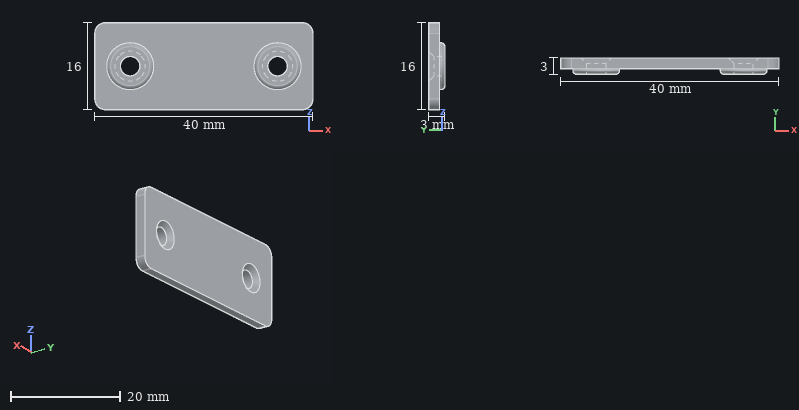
import cadquery as cq
import math

plate_length = 40.0
plate_height = 16.0
plate_thickness = 2.0
corner_radius = 2.0

boss_spacing = 27.0
boss_diameter = 8.6
boss_height = 1.0
boss_edge_radius = 0.7
hole_diameter = 3.5

countersink_depth = 1.0
countersink_angle = 90.0
countersink_diameter = hole_diameter + 2 * countersink_depth * math.tan(math.radians(countersink_angle / 2))

boss_centers = [(-boss_spacing / 2, 0), (boss_spacing / 2, 0)]


def make_plate():
    """Rounded plate with its boss-side face at Y = 0 and its back at +Y."""
    return (
        cq.Workplane("XZ")
        .rect(plate_length, plate_height)
        .extrude(-plate_thickness)
        .edges("|Y")
        .fillet(corner_radius)
    )


def make_bosses():
    """Discs rising toward -Y, with rounded outer rims."""
    return (
        cq.Workplane("XZ")
        .pushPoints(boss_centers)
        .circle(boss_diameter / 2)
        .extrude(boss_height)
        .faces("<Y")
        .edges()
        .fillet(boss_edge_radius)
    )


def make_holes():
    """Cylinders running through both the bosses and the plate."""
    return (
        cq.Workplane("XZ", origin=(0, -boss_height, 0))
        .pushPoints(boss_centers)
        .circle(hole_diameter / 2)
        .extrude(-(boss_height + plate_thickness))
    )


def make_countersinks():
    """Cones that widen from the hole diameter toward the back face."""
    return (
        cq.Workplane("XZ", origin=(0, plate_thickness, 0))
        .pushPoints(boss_centers)
        .circle(countersink_diameter / 2)
        .extrude(countersink_depth, taper=countersink_angle / 2)
    )


result = make_plate().union(make_bosses()).cut(make_holes()).cut(make_countersinks())